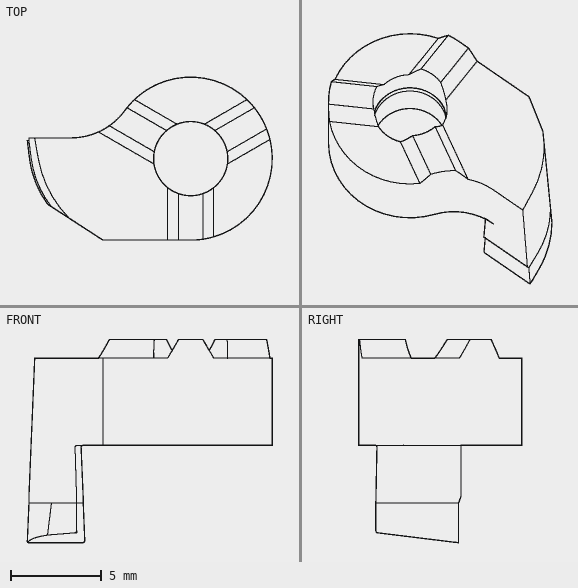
import cadquery as cq
import math

HUB_RADIUS = 4.49
HUB_THICKNESS = 4.8
BORE_RADIUS = 2.04
GROOVE_RADIUS = 2.13
GROOVE_TOP_Z = -1.83
GROOVE_DEEPEST_Z = -2.1
GROOVE_BOTTOM_Z = -2.31

REAR_Y = 1.15
REAR_BLEND_RADIUS = 3.64
CORNER_X = -4.83
CORNER_ANGLE = 33.0
WEB_FRONT_END_X = -6.54
WEB_REAR_END_X = -7.42

RIDGE_HEIGHT = 1.03
RIDGE_TOP_WIDTH = 1.35
RIDGE_FLANK_ANGLE = 30.0
RIDGE_ANGLES = (30, 150, 270)

JOINT_Z = -7.97
TIP_Z = -10.17
OUTER_TOP_X = -8.59
FLANK_TILT = 2.4
FLANK_RELIEF_TOP = 0.2
FLANK_RELIEF_TIP = 0.13
NOSE_TOP_X = -6.68
NOSE_TILT = 7.05
INNER_REAR_TOP_X = -6.23
INNER_TILT = 2.4
INNER_FRONT_TOP_X = -6.52
INNER_FRONT_JOINT_X = -6.27
LEG_FILLET = 0.12

RAKE_Y = 1.01
RAKE_CHAMFER_HEIGHT = 0.36
END_RELIEF_ANGLE = 7.0
TIP_CORNER_RADIUS = 0.13

CUT_LENGTH = 26.98


def tan_deg(angle):
    return math.tan(math.radians(angle))


def corner_face_y(x):
    """Y of the oblique front face at a given X."""
    return -HUB_RADIUS + (CORNER_X - x) * tan_deg(CORNER_ANGLE)


def hub_outline():
    """Hub circle with the web running out toward -X."""
    blend_y = REAR_Y + REAR_BLEND_RADIUS
    reach = HUB_RADIUS + REAR_BLEND_RADIUS
    blend_x = -math.sqrt(reach**2 - blend_y**2)
    share = HUB_RADIUS / reach
    return (
        cq.Workplane("XY")
        .moveTo(0, -HUB_RADIUS)
        .lineTo(CORNER_X, -HUB_RADIUS)
        .lineTo(WEB_FRONT_END_X, corner_face_y(WEB_FRONT_END_X))
        .lineTo(WEB_REAR_END_X, REAR_Y)
        .lineTo(blend_x, REAR_Y)
        .tangentArcPoint((blend_x * share, blend_y * share), relative=False)
        .threePointArc((HUB_RADIUS, 0), (0, -HUB_RADIUS))
        .close()
    )


def make_ridges():
    """Radial ridges of trapezoid section, trimmed to the hub outline."""
    half_top = RIDGE_TOP_WIDTH / 2
    half_base = half_top + RIDGE_HEIGHT * tan_deg(RIDGE_FLANK_ANGLE)
    bar = (
        cq.Workplane("YZ")
        .polyline([(-half_base, 0), (half_base, 0), (half_top, RIDGE_HEIGHT), (-half_top, RIDGE_HEIGHT)])
        .close()
        .extrude(1.5 * HUB_RADIUS)
    )
    raised_outline = hub_outline().extrude(RIDGE_HEIGHT)
    star = cq.Workplane("XY")
    for angle in RIDGE_ANGLES:
        star = star.union(bar.rotate((0, 0, 0), (0, 0, 1), angle))
    return raised_outline.intersect(star)


def leg_outer_x(z):
    return OUTER_TOP_X + z * tan_deg(FLANK_TILT)


def leg_section(z, inner_front_x):
    """Closed cross-section of the leg at height z."""
    depth = -z
    outer_x = leg_outer_x(z)
    relief = FLANK_RELIEF_TOP + (FLANK_RELIEF_TIP - FLANK_RELIEF_TOP) * z / TIP_Z
    nose_x = NOSE_TOP_X - depth * tan_deg(NOSE_TILT)
    inner_rear_x = INNER_REAR_TOP_X + depth * tan_deg(INNER_TILT)
    return (
        cq.Workplane("XY", origin=(0, 0, z))
        .moveTo(inner_rear_x, REAR_Y)
        .lineTo(outer_x, REAR_Y)
        .lineTo(outer_x + relief, 0)
        .tangentArcPoint((nose_x, corner_face_y(nose_x)), relative=False)
        .lineTo(inner_front_x, corner_face_y(inner_front_x))
        .close()
        .val()
    )


def leg_stretch(upper, lower):
    return cq.Workplane(cq.Solid.makeLoft([upper, lower], True))


def make_root_fillet():
    """Concave strip where the inner face of the leg meets the underside of the web."""
    share = HUB_THICKNESS / -JOINT_Z
    rear_x = INNER_REAR_TOP_X + HUB_THICKNESS * tan_deg(INNER_TILT)
    front_x = INNER_FRONT_TOP_X + (INNER_FRONT_JOINT_X - INNER_FRONT_TOP_X) * share
    skew = math.degrees(math.atan((rear_x - front_x) / (REAR_Y - corner_face_y(front_x))))
    strip = (
        cq.Workplane("XZ")
        .moveTo(LEG_FILLET, 0)
        .radiusArc((0, -LEG_FILLET), -LEG_FILLET)
        .lineTo(-LEG_FILLET, -LEG_FILLET)
        .lineTo(-LEG_FILLET, LEG_FILLET)
        .lineTo(LEG_FILLET, LEG_FILLET)
        .close()
        .extrude(HUB_RADIUS, both=True)
        .rotate((0, 0, 0), (0, 0, 1), -skew)
        .translate((rear_x - REAR_Y * tan_deg(skew), 0, -HUB_THICKNESS))
    )
    web_limits = (
        cq.Workplane("XY", origin=(0, 0, -HUB_THICKNESS / 2))
        .polyline([
            (CORNER_X, -HUB_RADIUS),
            (CORNER_X, REAR_Y),
            (WEB_REAR_END_X, REAR_Y),
            (WEB_REAR_END_X, corner_face_y(WEB_REAR_END_X)),
        ])
        .close()
        .extrude(-HUB_THICKNESS)
    )
    return strip.intersect(web_limits)


def make_holder():
    """Hub, ridges and leg as one body."""
    leg = leg_stretch(
        leg_section(0, INNER_FRONT_TOP_X),
        leg_section(JOINT_Z, INNER_FRONT_JOINT_X),
    )
    rake_chamfer = (
        cq.Workplane("YZ")
        .polyline([(REAR_Y, JOINT_Z), (RAKE_Y, JOINT_Z), (REAR_Y, JOINT_Z + RAKE_CHAMFER_HEIGHT)])
        .close()
        .extrude(-CUT_LENGTH)
    )
    body = hub_outline().extrude(-HUB_THICKNESS).union(leg)
    return body.union(make_root_fillet()).union(make_ridges()).cut(rake_chamfer)


def make_outer_corner_cut():
    """Rounds the outer lower corner of the rake face along Y, fading out as the tip end rises."""
    return (
        cq.Workplane("XZ", origin=(leg_outer_x(TIP_Z), 0, TIP_Z))
        .moveTo(0, TIP_CORNER_RADIUS)
        .radiusArc((TIP_CORNER_RADIUS, 0), -TIP_CORNER_RADIUS)
        .lineTo(-TIP_CORNER_RADIUS, 0)
        .lineTo(-TIP_CORNER_RADIUS, TIP_CORNER_RADIUS)
        .close()
        .extrude(HUB_RADIUS, both=True)
    )


def make_tip():
    """Cutting tip below the joint, with a rake face and end relief."""
    tip = leg_stretch(
        leg_section(JOINT_Z, INNER_FRONT_JOINT_X),
        leg_section(TIP_Z, INNER_FRONT_JOINT_X),
    )
    front_y = -HUB_RADIUS
    rise = (RAKE_Y - front_y) * tan_deg(END_RELIEF_ANGLE)
    side = (
        cq.Workplane("YZ")
        .polyline([(RAKE_Y, JOINT_Z), (RAKE_Y, TIP_Z), (front_y, TIP_Z + rise), (front_y, JOINT_Z)])
        .close()
        .extrude(-CUT_LENGTH)
    )
    tip = tip.intersect(side)
    tip = tip.faces("<Z").edges(">>X").fillet(TIP_CORNER_RADIUS)
    return tip.cut(make_outer_corner_cut())


def make_bore():
    """Through bore with a shallow V groove around its wall."""
    return (
        cq.Workplane("XZ")
        .polyline([
            (0, RIDGE_HEIGHT),
            (BORE_RADIUS, RIDGE_HEIGHT),
            (BORE_RADIUS, GROOVE_TOP_Z),
            (GROOVE_RADIUS, GROOVE_DEEPEST_Z),
            (BORE_RADIUS, GROOVE_BOTTOM_Z),
            (BORE_RADIUS, -HUB_THICKNESS),
            (0, -HUB_THICKNESS),
        ])
        .close()
        .revolve(360, (0, 0), (0, 1))
    )


holder = make_holder().cut(make_bore())
tip = make_tip()
result = cq.Compound.makeCompound([holder.val(), tip.val()])